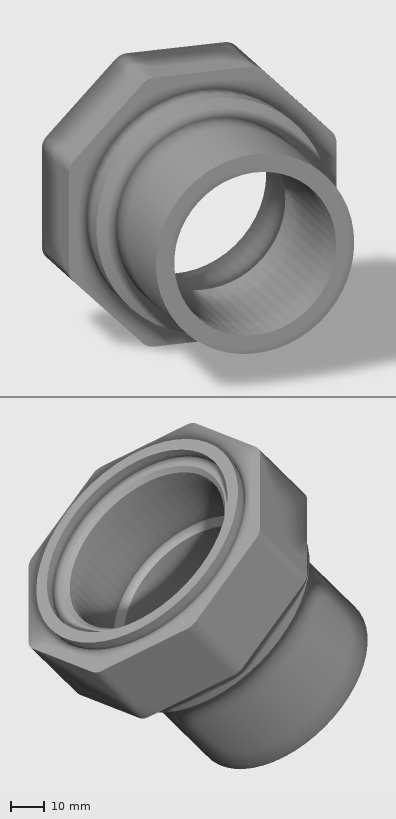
import cadquery as cq
import math

nut_start = 3.65
nut_end = 28.05
collar_end = 37.1
cone_end = 38.9
total_length = 75.0

across_flats = 85.0
nut_corner_radius = 5.1
collar_diameter = 74.0
spigot_diameter = 63.0

recess_diameter = 66.3
recess_depth = 3.65
lead_in_diameter = 59.5
bore_diameter = 56.7
lead_in_length = (lead_in_diameter - bore_diameter) / 2
through_diameter = 51.4
seat_start = 28.05
seat_length = 1.5


def revolve_about_x(profile):
    """Turn a list of (x, diameter) points into a solid around the X axis."""
    outline = [(x, diameter / 2) for x, diameter in profile]
    axis_points = [(profile[-1][0], 0), (profile[0][0], 0)]
    return (
        cq.Workplane("XY")
        .polyline(outline + axis_points)
        .close()
        .revolve(360, (0, 0, 0), (1, 0, 0))
    )


def make_nut():
    """Octagonal grip with flats facing Y and Z and rounded corners."""
    sides = 8
    half_side_angle = 180 / sides
    across_corners = across_flats / math.cos(math.radians(half_side_angle))
    return (
        cq.Workplane("YZ", origin=(nut_start, 0, 0))
        .transformed(rotate=(0, 0, half_side_angle))
        .polygon(sides, across_corners)
        .extrude(nut_end - nut_start)
        .edges("|X")
        .fillet(nut_corner_radius)
    )


def make_body():
    """Round collar tapering down to the spigot."""
    return revolve_about_x([
        (0, collar_diameter),
        (collar_end, collar_diameter),
        (cone_end, spigot_diameter),
        (total_length, spigot_diameter),
    ])


def make_bore():
    """Mouth recess, tapered lead-in, main bore and conical seat to the through hole."""
    return revolve_about_x([
        (0, recess_diameter),
        (recess_depth, recess_diameter),
        (recess_depth, lead_in_diameter),
        (recess_depth + lead_in_length, bore_diameter),
        (seat_start, bore_diameter),
        (seat_start + seat_length, through_diameter),
        (total_length, through_diameter),
    ])


result = make_body().union(make_nut()).cut(make_bore())